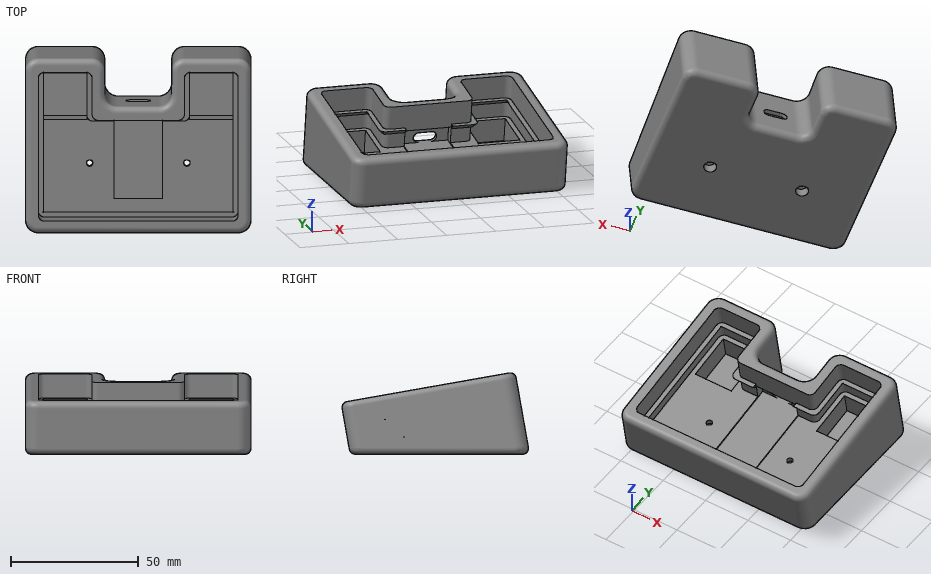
import cadquery as cq
import math


WIDTH = 88.2
LENGTH = 69.15
TILT = 10.0
BACK_HEIGHT = 32.3
CORNER_RADIUS = 5.0
EDGE_RADIUS = 2.5
NOTCH_WIDTH = 26.1
NOTCH_DEPTH = 19.05

WALL = 5.0
CAVITY_RADIUS = 2.5
FLOOR_DEPTH = 17.55
LIP_DEPTH = 9.5
LIP_WIDTH = 2.0

POCKET_DEPTH = 9.5
POCKET_LENGTH = 19.85

CHANNEL_WIDTH = 18.9
CHANNEL_LENGTH = 34.1
CHANNEL_DEPTH = 0.4
RECESS_ROOF_DEPTH = 10.85
RECESS_LENGTH = 3.35

PORT_WIDTH = 9.5
PORT_HEIGHT = 4.15

SCREW_SPACING = 38.0
SCREW_FROM_FRONT = 25.0
SCREW_DIAMETER = 2.5
SCREW_HEAD_DIAMETER = 5.0
SCREW_WEB = 2.0

slope = math.radians(TILT)
front_height = BACK_HEIGHT - LENGTH * math.sin(slope)
front_y = -LENGTH / 2 * math.cos(slope)
notch_floor = LENGTH - NOTCH_DEPTH
bar_face = notch_floor - WALL
channel_front = bar_face - CHANNEL_LENGTH
channel_bottom = FLOOR_DEPTH + CHANNEL_DEPTH
port_depth = channel_bottom - PORT_HEIGHT / 2
arm_width = (WIDTH - NOTCH_WIDTH) / 2
arm_middle = (WIDTH - arm_width) / 2
pocket_inset = WALL + LIP_WIDTH
pocket_width = arm_width - 2 * pocket_inset
pocket_back = LENGTH - pocket_inset
beyond_base = 2 * BACK_HEIGHT


def sloping_plane(depth):
    """Plane parallel to the top at a depth; its local y runs up the slope from the front."""
    origin = (
        0,
        front_y + depth * math.sin(slope),
        front_height - depth * math.cos(slope),
    )
    return cq.Plane(origin=origin, xDir=(1, 0, 0), normal=(0, -math.sin(slope), math.cos(slope)))


top_plane = sloping_plane(0)
upright_edges = cq.selectors.ParallelDirSelector(top_plane.zDir)
uppermost_face = cq.selectors.DirectionMinMaxSelector(top_plane.zDir)


def u_outline(depth, inset):
    """Sharp-cornered U-shaped outline, inset from the outer walls."""
    half_width = WIDTH / 2 - inset
    half_notch = NOTCH_WIDTH / 2 + inset
    front = inset
    back = LENGTH - inset
    bar = notch_floor - inset
    points = [
        (-half_width, front),
        (half_width, front),
        (half_width, back),
        (half_notch, back),
        (half_notch, bar),
        (-half_notch, bar),
        (-half_notch, back),
        (-half_width, back),
    ]
    return cq.Workplane(sloping_plane(depth)).polyline(points).close()


def block(depth, height, x_size, v_start, v_size, x_middle=0):
    """Block running down from a depth and back from a distance v_start."""
    return (
        cq.Workplane(sloping_plane(depth))
        .center(x_middle, v_start + v_size / 2)
        .rect(x_size, v_size)
        .extrude(-height)
    )


def make_body():
    """Leaning U-shaped prism cut level at the base, with both rims rounded."""
    prism = u_outline(0, 0).extrude(-beyond_base).edges(upright_edges).fillet(CORNER_RADIUS)
    above_base = cq.Workplane("XY").rect(2 * WIDTH, 2 * WIDTH).extrude(beyond_base)
    body = prism.intersect(above_base)
    body = body.faces("<Z").edges().fillet(EDGE_RADIUS)
    return body.faces(uppermost_face).edges().fillet(EDGE_RADIUS)


def cavity_block(depth, height):
    """Slice of the space inside the walls."""
    return u_outline(depth, WALL).extrude(-height).edges(upright_edges).fillet(CAVITY_RADIUS)


def make_lip():
    """Lip of triangular section along the wall, interrupted over the channel."""
    outline = u_outline(LIP_DEPTH, WALL + LIP_WIDTH).wires().val()
    lip_plane = sloping_plane(LIP_DEPTH)
    bar_v = notch_floor - WALL - LIP_WIDTH
    bar_corners = [
        vertex for vertex in outline.Vertices()
        if abs(lip_plane.toLocalCoords(vertex.Center()).y - bar_v) < CAVITY_RADIUS
    ]
    outline = outline.fillet2D(CAVITY_RADIUS, bar_corners)
    opening = cq.Workplane(lip_plane).add(outline).toPending().extrude(-LIP_WIDTH, taper=-45)
    lip = cavity_block(LIP_DEPTH, LIP_WIDTH).cut(opening)
    return lip.cut(block(LIP_DEPTH, LIP_WIDTH, CHANNEL_WIDTH, channel_front, CHANNEL_LENGTH))


def make_channel():
    """Shallow floor channel that ends in a taller recess under the bar."""
    channel = block(FLOOR_DEPTH, CHANNEL_DEPTH, CHANNEL_WIDTH, channel_front, CHANNEL_LENGTH)
    recess_height = channel_bottom - RECESS_ROOF_DEPTH
    return channel.union(
        block(RECESS_ROOF_DEPTH, recess_height, CHANNEL_WIDTH, bar_face, RECESS_LENGTH)
    )


def make_port():
    """Round-ended slot running back along the slope through the bar."""
    origin = sloping_plane(port_depth).toWorldCoords((0, bar_face, 0))
    plane = cq.Plane(origin=origin, xDir=(-1, 0, 0), normal=top_plane.yDir)
    return cq.Workplane(plane).slot2D(PORT_WIDTH, PORT_HEIGHT).extrude(2 * WALL)


def make_pocket(side):
    pocket_front = pocket_back - POCKET_LENGTH
    return block(FLOOR_DEPTH, POCKET_DEPTH, pocket_width, pocket_front, POCKET_LENGTH, side * arm_middle)


def make_screw_hole(side):
    """Small hole through the floor with a wider bore for the head below it."""
    x_screw = side * SCREW_SPACING / 2

    def bore(depth, diameter):
        plane = cq.Workplane(sloping_plane(depth)).center(x_screw, SCREW_FROM_FRONT)
        return plane.circle(diameter / 2).extrude(-beyond_base)

    shank = bore(FLOOR_DEPTH, SCREW_DIAMETER)
    return shank.union(bore(FLOOR_DEPTH + SCREW_WEB, SCREW_HEAD_DIAMETER))


cavity = cavity_block(0, FLOOR_DEPTH).cut(make_lip())
result = make_body().cut(cavity).cut(make_channel()).cut(make_port())
for side in (-1, 1):
    result = result.cut(make_pocket(side)).cut(make_screw_hole(side))